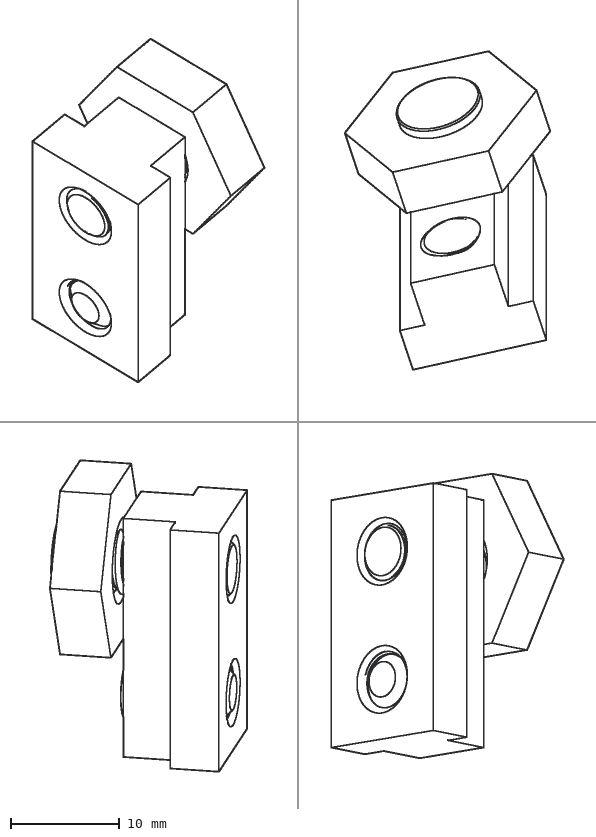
import cadquery as cq
import math


nut_width = 12.75
nut_depth = 9.5
nut_height = 23.2
neck_width = 8.0
flange_depth = 4.6
hole_spacing = 12.0
lower_hole_z = (nut_height - hole_spacing) / 2
upper_hole_z = lower_hole_z + hole_spacing
countersink_radius = 3.15

thread_radius = 3.0
thread_root_radius = 2.46
thread_pitch = 1.0
tap_drill_radius = 2.5
ridge_base_width = 0.96 * thread_pitch
ridge_base_radius = thread_root_radius - 0.06
tap_clearance = 0.01
countersink_depth = countersink_radius - tap_drill_radius

cam_eccentricity = 0.5
cam_angle = math.radians(150)
cam_x = cam_eccentricity * math.cos(cam_angle)
cam_z = upper_hole_z + cam_eccentricity * math.sin(cam_angle)
head_radius = 4.0
head_chamfer = 0.15
head_back_y = 16.25
cam_tip_y = 0.1
cam_tip_radius = 2.26
cam_crest_y = 0.95

tap_start_radius = cam_tip_radius - cam_tip_y + tap_clearance

hex_across_flats = 15.875
hex_thickness = 4.8
head_protrusion = 1.0
hex_front_y = head_back_y - head_protrusion - hex_thickness
head_recess = 1.6
head_front_y = hex_front_y + head_recess

set_screw_length = 10.0
cup_radius = 1.65
cup_depth = cup_radius * math.tan(math.radians(30))
set_crest_y = 0.66


def along_y(body, x, z):
    """Turn a body built along the local Z axis to lie along Y, and move its axis to (x, z)."""
    return body.rotate((0, 0, 0), (1, 0, 0), -90).translate((x, 0, z))


def threaded_rod(core_radius, clearance, crest, start, end):
    """Right-hand threaded rod on the local Z axis that runs past both start and end."""
    helix_start = start - 2 * thread_pitch + (crest - start) % thread_pitch
    turns = math.ceil((end - helix_start) / thread_pitch) + 1
    helix_length = turns * thread_pitch
    helix = cq.Wire.makeHelix(thread_pitch, helix_length, ridge_base_radius)
    base_half_width = ridge_base_width / 2 + clearance
    ridge = (
        cq.Workplane("XZ")
        .moveTo(ridge_base_radius, -base_half_width)
        .lineTo(thread_radius + clearance, 0)
        .lineTo(ridge_base_radius, base_half_width)
        .close()
        .sweep(cq.Workplane(helix), isFrenet=True)
    )
    core = cq.Workplane("XY").circle(core_radius).extrude(helix_length)
    return core.union(ridge).translate((0, 0, helix_start))


def chamfered_rod(core_radius, clearance, crest, tip, tip_radius, end):
    """Threaded rod on the local Z axis with a 45-degree chamfered tip and a flat far end."""
    outer_radius = thread_radius + thread_pitch
    envelope = (
        cq.Workplane("XZ")
        .moveTo(0, tip)
        .lineTo(tip_radius, tip)
        .lineTo(outer_radius, tip + outer_radius - tip_radius)
        .lineTo(outer_radius, end)
        .lineTo(0, end)
        .close()
        .revolve(360, (0, 0, 0), (0, 1, 0))
    )
    rod = threaded_rod(core_radius, clearance, crest, tip, end)
    return rod.intersect(envelope)


def make_cam_screw():
    shank = chamfered_rod(
        thread_root_radius, 0, cam_crest_y, cam_tip_y, cam_tip_radius, head_front_y
    )
    shank = along_y(shank, 0, upper_hole_z)
    head = (
        cq.Workplane("XY", origin=(0, 0, head_front_y))
        .circle(head_radius)
        .extrude(head_back_y - head_front_y)
        .faces(">Z")
        .chamfer(head_chamfer)
    )
    return shank.union(along_y(head, cam_x, cam_z))


def make_set_screw():
    screw = chamfered_rod(
        thread_root_radius, 0, set_crest_y, 0, cup_radius, set_screw_length
    )
    cup = cq.Workplane(cq.Solid.makeCone(cup_radius, 0, cup_depth))
    return along_y(screw.cut(cup), 0, lower_hole_z)


def make_hex_washer():
    across_corners = hex_across_flats / math.cos(math.radians(30))
    washer = (
        cq.Workplane("XY", origin=(0, 0, hex_front_y))
        .polygon(6, across_corners)
        .circle(head_radius)
        .extrude(hex_thickness)
    )
    return along_y(washer, cam_x, cam_z)


def make_t_nut():
    flange = cq.Workplane("XY").rect(nut_width, 2 * flange_depth).extrude(nut_height)
    neck = cq.Workplane("XY").rect(neck_width, 2 * nut_depth).extrude(nut_height)
    front_space = (
        cq.Workplane("XY")
        .center(0, -nut_depth)
        .rect(2 * nut_width, 2 * nut_depth)
        .extrude(nut_height)
    )
    nut = flange.union(neck).cut(front_space)
    countersink = cq.Workplane(
        cq.Solid.makeCone(countersink_radius, tap_drill_radius, countersink_depth)
    )
    for hole_z, crest in ((lower_hole_z, set_crest_y), (upper_hole_z, cam_crest_y)):
        thread = chamfered_rod(
            tap_drill_radius, tap_clearance, crest, 0, tap_start_radius, nut_depth + thread_pitch
        )
        nut = nut.cut(along_y(thread, 0, hole_z))
        nut = nut.cut(along_y(countersink, 0, hole_z))
    return nut


cam_screw = make_cam_screw()
set_screw = make_set_screw()
hex_washer = make_hex_washer()
t_nut = make_t_nut()

result = cq.Compound.makeCompound(
    [t_nut.val(), hex_washer.val(), cam_screw.val(), set_screw.val()]
)